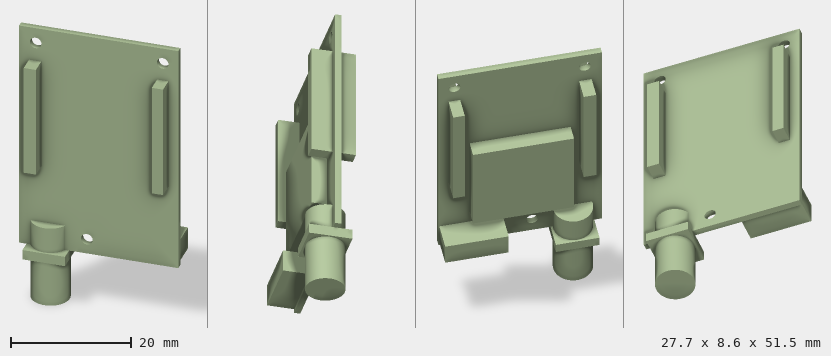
import cadquery as cq

board_width = 27.68
board_thickness = 1.1
total_height = 51.53
total_depth = 8.6

coax_x = 5.0
coax_y = 1.5
coax_diameter = 6.7
coax_inner_length = 4.63
flange_size = 7.4
flange_thickness = 1.78
barrel_length = 8.29
board_height = total_height - flange_thickness - barrel_length

hole_diameter = 2.0
hole_top_margin = 2.83
upper_hole_z = board_height - hole_top_margin
hole_centers = [
    (2.9, upper_hole_z),
    (24.96, upper_hole_z),
    (11.8, 2.7),
]

header_front = -2.9
header_back = 4.7
header_bottom = 15.25
left_header_x = 1.75
left_header_width = 2.12
left_header_length = 20.0
right_header_x = 24.0
right_header_width = 1.96
right_header_length = 20.15

module_x = 5.3
module_size = 17.1
module_bottom = 7.05
module_depth = 2.65

socket_x = 16.78
socket_width = 10.75
socket_bottom = 0.63
socket_back = header_front + total_depth


def block(x_start, x_size, y_start, y_end, z_start, z_size):
    """Box placed by its lowest X, Y and Z corner."""
    return cq.Workplane("XY").box(x_size, y_end - y_start, z_size, centered=False).translate(
        (x_start, y_start, z_start)
    )


def make_board():
    board = block(0, board_width, 0, board_thickness, 0, board_height)
    holes = (
        cq.Workplane("XZ")
        .pushPoints(hole_centers)
        .circle(hole_diameter / 2)
        .extrude(-board_thickness)
    )
    return board.cut(holes)


def make_header(x_start, width, length):
    return block(x_start, width, header_front, header_back, header_bottom, length)


def make_module():
    module_back = board_thickness + module_depth
    return block(module_x, module_size, board_thickness, module_back, module_bottom, module_size)


def make_socket():
    socket_height = coax_inner_length - socket_bottom
    return block(socket_x, socket_width, board_thickness, socket_back, socket_bottom, socket_height)


def make_coax_connector():
    body = (
        cq.Workplane("XY", origin=(coax_x, coax_y, -flange_thickness - barrel_length))
        .circle(coax_diameter / 2)
        .extrude(barrel_length + flange_thickness + coax_inner_length)
    )
    flange = (
        cq.Workplane("XY", origin=(coax_x, coax_y, -flange_thickness))
        .rect(flange_size, flange_size)
        .extrude(flange_thickness)
    )
    return body.union(flange)


result = (
    make_board()
    .union(make_header(left_header_x, left_header_width, left_header_length))
    .union(make_header(right_header_x, right_header_width, right_header_length))
    .union(make_module())
    .union(make_socket())
    .union(make_coax_connector())
)